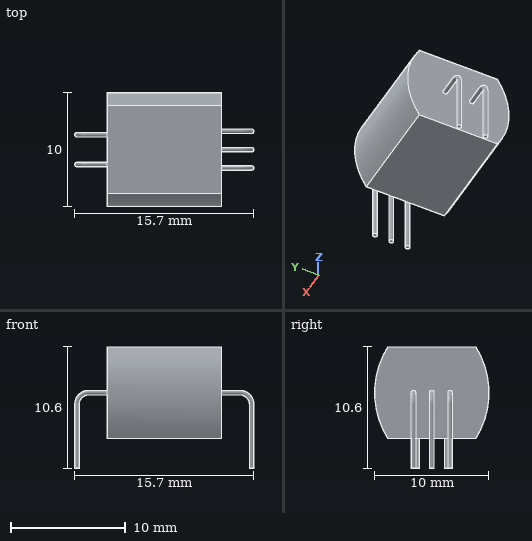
import cadquery as cq
import math

body_length = 10.0
body_height = 8.0
body_width = 10.0
flat_width = 7.7

lead_diameter = 0.41
lead_row_spacing = 15.24
lead_bend_radius = 1.0
lead_drop = 6.61
lead_embedment = 1.0
lead_bend_mid_angle = math.radians(45)
led_lead_pitch = 2.6
led_lead_count = 2
cell_lead_pitch = 1.6
cell_lead_count = 3


def make_body():
    """Extrude the bowed profile along X, centred on the origin."""
    half_flat = flat_width / 2
    half_width = body_width / 2
    half_height = body_height / 2
    return (
        cq.Workplane("YZ")
        .moveTo(-half_flat, half_height)
        .lineTo(half_flat, half_height)
        .threePointArc((half_width, 0), (half_flat, -half_height))
        .lineTo(-half_flat, -half_height)
        .threePointArc((-half_width, 0), (-half_flat, half_height))
        .close()
        .extrude(body_length / 2, both=True)
    )


def make_lead(side, y):
    """Bent lead at the given Y; side is -1 for the -X end, +1 for the +X end."""
    x_inner = side * (body_length / 2 - lead_embedment)
    x_outer = side * lead_row_spacing / 2
    x_bend = x_outer - side * lead_bend_radius
    bend_mid_run = lead_bend_radius * math.sin(lead_bend_mid_angle)
    bend_mid_drop = lead_bend_radius - bend_mid_run
    path = (
        cq.Workplane("XZ", origin=(0, y, 0))
        .moveTo(x_inner, 0)
        .lineTo(x_bend, 0)
        .threePointArc(
            (x_bend + side * bend_mid_run, -bend_mid_drop),
            (x_outer, -lead_bend_radius),
        )
        .lineTo(x_outer, -lead_drop)
    )
    return (
        cq.Workplane("YZ", origin=(x_inner, y, 0))
        .circle(lead_diameter / 2)
        .sweep(path)
    )


def add_lead_row(part, side, count, pitch):
    """Join a row of evenly spaced leads, centred on Y = 0, to one end."""
    for index in range(count):
        y = (index - (count - 1) / 2) * pitch
        part = part.union(make_lead(side, y))
    return part


result = make_body()
result = add_lead_row(result, -1, led_lead_count, led_lead_pitch)
result = add_lead_row(result, 1, cell_lead_count, cell_lead_pitch)